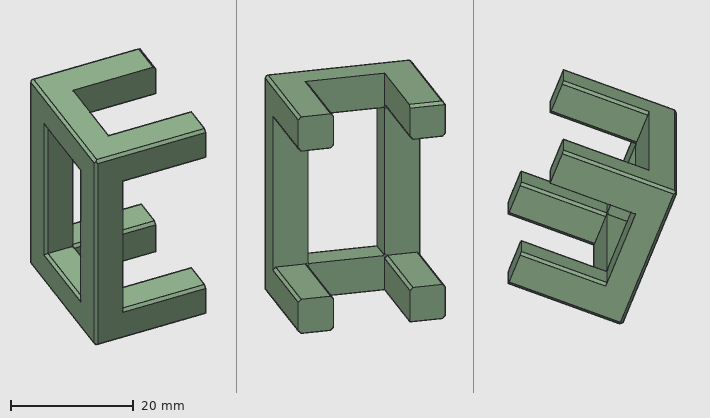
import cadquery as cq

width = 25.0
depth = 20.0
height = 38.0
arm = 6.0
plate = 5.0
bevel = 0.5

tolerance = 0.005
opening_width = width - 2 * arm
opening_height = height - 2 * arm
arm_length = depth - plate


def corner_box(size, corner):
    """Box with its minimum X, Y, Z corner at the given point."""
    return cq.Workplane("XY").box(*size, centered=False).translate(corner)


def edge_at(body, low, high):
    """Edges lying wholly inside the thin box around the line from low to high."""
    start = tuple(value - tolerance for value in low)
    end = tuple(value + tolerance for value in high)
    return body.edges(cq.selectors.BoxSelector(start, end, boundingbox=True))


frame = corner_box((width, depth, height), (0, 0, 0))
window = corner_box((opening_width, depth, opening_height), (arm, 0, arm))
side_gap = corner_box((width, arm_length, opening_height), (0, plate, arm))
end_gap = corner_box((opening_width, arm_length, height), (arm, plate, 0))
frame = frame.cut(window).cut(side_gap).cut(end_gap)

frame = frame.faces("<Y").edges().chamfer(bevel)
for x in (0, width):
    for z in (0, height):
        frame = edge_at(frame, (x, bevel, z), (x, depth, z)).chamfer(bevel)

for x in (0, arm, width - arm, width):
    for z in (arm, height - arm):
        frame = edge_at(frame, (x, plate, z), (x, depth, z)).chamfer(bevel)

for z in (0, height):
    x = width - arm
    frame = edge_at(frame, (x, plate, z), (x, depth, z)).chamfer(bevel)

frame = edge_at(frame, (bevel, depth, height), (arm, depth, height)).chamfer(bevel)

result = frame.translate((-width / 2, -depth / 2, -height / 2))